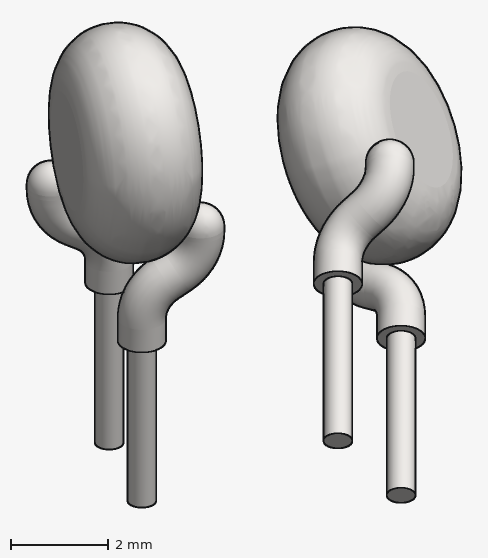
import cadquery as cq
import math

total_height = 10.3
disc_diameter = 5.0
disc_thickness = 2.5
lead_pitch = 2.5
lead_diameter = 0.6
sleeve_diameter = 1.0
sleeve_bottom_z = 3.8
sleeve_straight_length = 0.54
sleeve_tip_length = 0.1
bend_radius = 1.0
bend_angle = math.radians(60)

disc_radius = disc_diameter / 2
disc_half_thickness = disc_thickness / 2
disc_center_z = total_height - disc_radius
flat_radius = disc_radius - disc_half_thickness
sleeve_radius = sleeve_diameter / 2

bend_offset = bend_radius * (1 - math.cos(bend_angle))
bend_rise = bend_radius * math.sin(bend_angle)
slope_offset = disc_half_thickness - 2 * bend_offset
slope_rise = slope_offset / math.tan(bend_angle)


def make_disc():
    """Round disc along Y, with flat faces and a fully rounded rim."""
    return (
        cq.Workplane("XY")
        .moveTo(0, -disc_half_thickness)
        .lineTo(flat_radius, -disc_half_thickness)
        .threePointArc((disc_radius, 0), (flat_radius, disc_half_thickness))
        .lineTo(0, disc_half_thickness)
        .close()
        .revolve(360, (0, 0, 0), (0, 1, 0))
        .translate((0, 0, disc_center_z))
    )


def make_sleeve(side):
    """Coated lead end; side -1 lies at -X and bends to -Y, side +1 to +X and +Y."""
    x = side * lead_pitch / 2
    bend_start_z = sleeve_bottom_z + sleeve_straight_length
    slope_start = (side * bend_offset, bend_start_z + bend_rise)
    slope_end = (side * (bend_offset + slope_offset), slope_start[1] + slope_rise)
    bend_end = (side * disc_half_thickness, slope_end[1] + bend_rise)
    tip = (bend_end[0], bend_end[1] + sleeve_tip_length)

    path = (
        cq.Workplane("YZ", origin=(x, 0, 0))
        .moveTo(0, sleeve_bottom_z)
        .lineTo(0, bend_start_z)
        .tangentArcPoint(slope_start, relative=False)
        .lineTo(*slope_end)
        .tangentArcPoint(bend_end, relative=False)
        .lineTo(*tip)
    )
    tube = cq.Workplane("XY", origin=(x, 0, sleeve_bottom_z)).circle(sleeve_radius).sweep(path)
    round_end = cq.Workplane("XY").sphere(sleeve_radius).translate((x, *tip))
    return tube.union(round_end)


def make_lead(side):
    """Straight bare wire below a sleeve."""
    base = cq.Workplane("XY", origin=(side * lead_pitch / 2, 0, 0))
    return base.circle(lead_diameter / 2).extrude(sleeve_bottom_z)


disc = make_disc()
sleeves = []
leads = []
for side in (-1, 1):
    sleeve = make_sleeve(side)
    disc = disc.cut(sleeve)
    sleeves.append(sleeve.solids().val())
    leads.append(make_lead(side).val())

result = cq.Compound.makeCompound([disc.solids().val(), *sleeves, *leads])